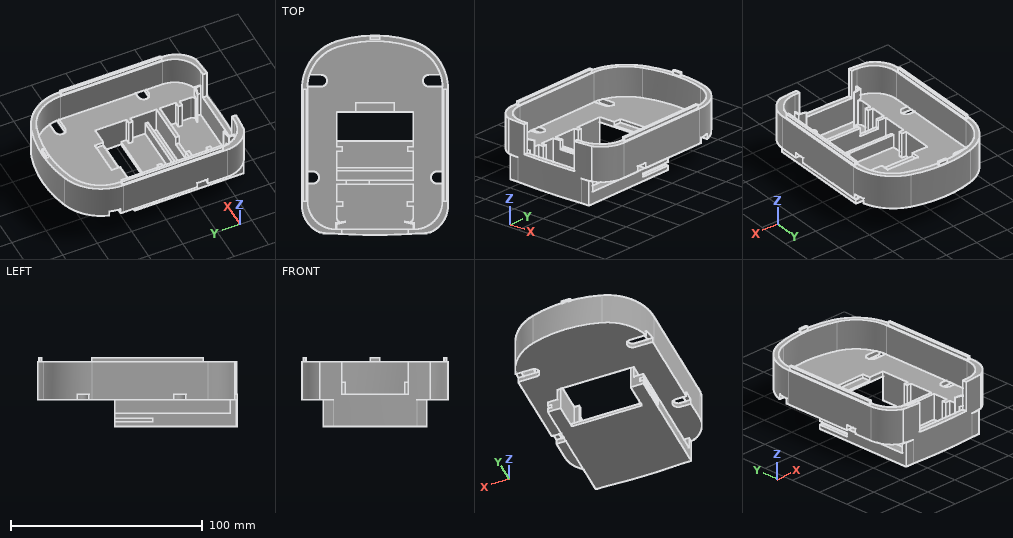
import cadquery as cq
import math


width = 76.5
length = 104.37
shell_height = 20.0
floor_thickness = 3.0
wall = 3.0
half_width = width / 2
cavity_half_width = half_width - wall

outer_crown_radius = 67.0
outer_crown_half_span = 19.6
cavity_crown_radius = outer_crown_radius - wall
cavity_crown_half_span = 19.9
outer_rear = (half_width, length, outer_crown_radius, outer_crown_half_span)
cavity_rear = (cavity_half_width, length - wall, cavity_crown_radius, cavity_crown_half_span)

bow_half_span = 28.75
bow_drop = 1.32
bow_radius = (bow_half_span**2 + bow_drop**2) / (2 * bow_drop)
front_corner_start = 15.65
cavity_corner_radius = 14.8

rim_tab_height = 2.0
rail_inner_x = 35.95
rail_width = 1.4
lug_width = 5.1
lug_depth = 1.35
lug_setback = 0.7

front_notch_half_width = 17.25

rear_slot = (80.65, 6.0, 28.1)
front_slot = (30.1, 6.2, 32.35)

block_depth = 14.0
block_half_width = 27.15
block_core_half_width = 21.75
block_back = 64.2
block_floor = 2.0
block_floor_back = 49.2
ledge_depth = 7.0
end_plate_thickness = 3.0
side_groove_length = 20.0
side_groove_height = 2.0
side_groove_bottom = 2.5
side_groove_depth = 2.0

opening_half_width = 19.9
divider_front = 26.7
divider_thickness = 1.95
divider_notch_left = -15.0
divider_notch_width = 11.9
divider_notch_depth = 5.0
ridge_front = 33.6
ridge_thickness = 1.65
ridge_height = 7.6
post_width = 2.3
front_post_y = 15.15
front_post_reach = 3.1
rear_post_y = 43.75
rear_post_reach = 2.75
recess_width = 20.1
recess_length = 5.0
recess_depth = 2.0

blade_thickness = 0.6
blade_top = 9.2
blade_root_y = 6.35
blade_tip_x = 15.6
blade_tip_rise = 0.8
blade_tip_thickness = 0.4
blade_web_length = 2.4
blade_web_reach = 1.6

compartment_bottom = block_floor - block_depth


def box(x_min, x_max, y_min, y_max, z_min, z_max):
    size = (x_max - x_min, y_max - y_min, z_max - z_min)
    return cq.Workplane("XY").box(*size, centered=False).translate((x_min, y_min, z_min))


def on_both_sides(shape):
    return shape.union(shape.mirror("YZ"))


def bow_y(x):
    """Y of the bowed front face at a distance x from the centre plane."""
    return bow_radius - math.sqrt(bow_radius**2 - x**2)


def shoulder_centre_and_radius(side_x, back_y, radius, half_span):
    """Centre and radius of the arc tangent to both the crown arc and the straight side."""
    sine = half_span / radius
    shoulder_radius = (side_x - half_span) / (1 - sine)
    centre_y = back_y - radius + (radius - shoulder_radius) * math.sqrt(1 - sine**2)
    return (side_x - shoulder_radius, centre_y), shoulder_radius


def rear_outline(side_x, back_y, radius, half_span):
    """Right half of a rear outline, from the apex to the start of the straight side."""
    centre, shoulder_radius = shoulder_centre_and_radius(side_x, back_y, radius, half_span)

    def crown_point(x):
        return (x, back_y - radius + math.sqrt(radius**2 - x**2))

    middle_angle = math.acos(half_span / radius) / 2
    shoulder_middle = (
        centre[0] + shoulder_radius * math.cos(middle_angle),
        centre[1] + shoulder_radius * math.sin(middle_angle),
    )
    return (
        cq.Workplane("XY")
        .moveTo(*crown_point(0))
        .threePointArc(crown_point(half_span / 2), crown_point(half_span))
        .threePointArc(shoulder_middle, (side_x, centre[1]))
    )


def make_shell():
    outer = (
        rear_outline(*outer_rear)
        .lineTo(half_width, front_corner_start)
        .tangentArcPoint((bow_half_span, bow_drop), relative=False)
        .threePointArc((bow_half_span / 2, bow_y(bow_half_span / 2)), (0, 0))
        .mirrorY()
        .extrude(shell_height)
    )
    cavity_corner_x = cavity_half_width - cavity_corner_radius
    cavity = (
        rear_outline(*cavity_rear)
        .lineTo(cavity_half_width, wall + cavity_corner_radius)
        .tangentArcPoint((cavity_corner_x, wall), relative=False)
        .lineTo(0, wall)
        .mirrorY()
        .extrude(shell_height)
        .translate((0, 0, floor_thickness))
    )
    notch = box(
        -front_notch_half_width, front_notch_half_width, 0, wall, floor_thickness, shell_height
    )
    return outer.cut(cavity).cut(notch)


def make_rim_tabs():
    rim_top = shell_height + rim_tab_height
    rail_front = wall + cavity_corner_radius
    shoulder_centre, _ = shoulder_centre_and_radius(*outer_rear)
    rail_back = shoulder_centre[1]
    rail = box(
        rail_inner_x, rail_inner_x + rail_width, rail_front, rail_back, shell_height, rim_top
    )
    lug_back = length - lug_setback
    lug = box(
        -lug_width / 2, lug_width / 2, lug_back - lug_depth, lug_back, shell_height, rim_top
    )
    return on_both_sides(rail).union(lug)


def make_screw_slot(centre_y, slot_width, end_x):
    radius = slot_width / 2
    slot = box(end_x, half_width, centre_y - radius, centre_y + radius, 0, floor_thickness)
    round_end = cq.Workplane("XY").center(end_x, centre_y).circle(radius).extrude(floor_thickness)
    return on_both_sides(slot.union(round_end))


def make_block():
    core = (
        cq.Workplane("XY")
        .moveTo(-block_core_half_width, block_back)
        .lineTo(-block_core_half_width, bow_y(block_core_half_width))
        .threePointArc((0, 0), (block_core_half_width, bow_y(block_core_half_width)))
        .lineTo(block_core_half_width, block_back)
        .close()
        .extrude(-block_depth)
    )
    front = bow_y(block_core_half_width)
    flank = box(block_core_half_width, block_half_width, front, block_back, -block_depth, 0)
    ledge_space = box(
        block_core_half_width,
        block_half_width,
        front + end_plate_thickness,
        block_back,
        -ledge_depth,
        0,
    )
    groove_z = side_groove_bottom - block_depth
    groove = box(
        block_half_width - side_groove_depth,
        block_half_width,
        block_back - side_groove_length,
        block_back,
        groove_z,
        groove_z + side_groove_height,
    )
    return core.union(on_both_sides(flank.cut(ledge_space).cut(groove)))


def make_opening():
    compartment = box(
        -opening_half_width,
        opening_half_width,
        wall,
        block_back,
        compartment_bottom,
        floor_thickness,
    )
    open_bottom = box(
        -opening_half_width,
        opening_half_width,
        block_floor_back,
        block_back,
        -block_depth,
        compartment_bottom,
    )
    recess = box(
        -recess_width / 2,
        recess_width / 2,
        block_back,
        block_back + recess_length,
        floor_thickness - recess_depth,
        floor_thickness,
    )
    return compartment.union(open_bottom).union(recess)


def make_partitions():
    divider_back = divider_front + divider_thickness
    divider = box(
        -opening_half_width,
        opening_half_width,
        divider_front,
        divider_back,
        compartment_bottom,
        floor_thickness,
    )
    divider_notch = box(
        divider_notch_left,
        divider_notch_left + divider_notch_width,
        divider_front,
        divider_back,
        floor_thickness - divider_notch_depth,
        floor_thickness,
    )
    ridge = box(
        -opening_half_width,
        opening_half_width,
        ridge_front,
        ridge_front + ridge_thickness,
        compartment_bottom,
        compartment_bottom + ridge_height,
    )
    return divider.cut(divider_notch).union(ridge)


def make_posts(front_y, reach):
    post = box(
        opening_half_width - reach,
        opening_half_width,
        front_y,
        front_y + post_width,
        compartment_bottom,
        floor_thickness,
    )
    return on_both_sides(post)


def make_blades():
    """L-shaped, tapering spring blades, each joined to the side wall by a curved web up to floor level."""
    outer_x = opening_half_width + blade_thickness
    inner_y = blade_root_y - blade_thickness
    tip_y = blade_root_y + blade_tip_rise
    blade = (
        cq.Workplane("XY")
        .workplane(offset=compartment_bottom)
        .moveTo(outer_x, wall)
        .lineTo(outer_x, blade_root_y)
        .lineTo(blade_tip_x, tip_y)
        .lineTo(blade_tip_x, tip_y - blade_tip_thickness)
        .lineTo(opening_half_width, inner_y)
        .lineTo(opening_half_width, wall)
        .close()
        .extrude(blade_top - compartment_bottom)
    )
    web_end = (opening_half_width - blade_web_reach, blade_root_y + blade_tip_rise / 2)
    web = (
        cq.Workplane("XY")
        .workplane(offset=compartment_bottom)
        .moveTo(opening_half_width, blade_root_y + blade_web_length)
        .radiusArc(web_end, blade_web_length)
        .lineTo(opening_half_width, blade_root_y)
        .close()
        .extrude(floor_thickness - compartment_bottom)
    )
    return on_both_sides(blade.union(web))


result = make_shell().union(make_rim_tabs()).union(make_block())
for slot in (rear_slot, front_slot):
    result = result.cut(make_screw_slot(*slot))
result = result.cut(make_opening()).union(make_partitions())
result = result.union(make_posts(front_post_y, front_post_reach))
result = result.union(make_posts(rear_post_y, rear_post_reach))
result = result.union(make_blades()).clean()